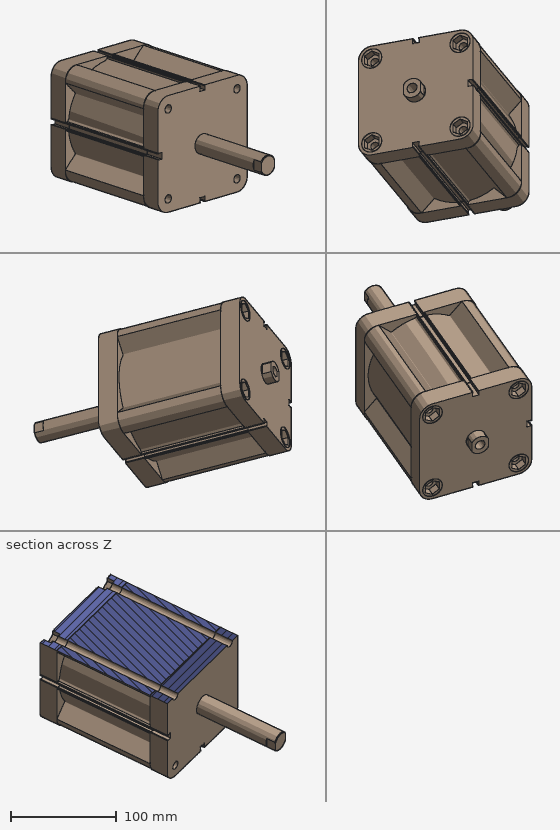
import cadquery as cq
import math


total_length = 247.0
rear_stub = 10.0
cap_thickness = 19.8
barrel_length = 107.7
barrel_start = cap_thickness
front_cap_start = barrel_start + barrel_length

section_size = 116.0
half_section = section_size / 2
corner_radius = 13.3
tie_rod_offset = half_section - corner_radius

tube_radius = 54.0
barrel_corner_radius = 14.8
web_width = barrel_corner_radius * math.sqrt(2)
web_root_fillet = 0.7
rail_width = 8.5
rail_foot_width = 11.9
rail_root_fillet = 1.0
barrel_slot_depth = 4.5
rail_step_width = 7.0
rail_step_depth = 0.2

slot_mouth_width = 5.5
slot_inner_width = 6.7
slot_lip = 1.0
cap_slot_depth = 5.2
slot_angles = (0, 90, 180)

tie_hole_diameter = 8.2
seat_diameter = 20.3
seat_depth = 0.5
hex_across_flats = 14.3
hex_depth = 8.0

rod_diameter = 20.0
flat_width = 17.0
rear_flat_length = 9.1
front_flat_length = 10.0
rod_chamfer = 0.7
rod_hole_diameter = 10.0
rod_hole_depth = 19.8
drill_point_angle = 120.0


def section_plane(x):
    """Plane across the axis at x: local x is global Y, local y is global Z."""
    return cq.Workplane("YZ", origin=(x, 0, 0))


def turned(shape, angle):
    return shape.rotate((0, 0, 0), (1, 0, 0), angle)


def at_tie_rods(x):
    """Plane at x with one point on the axis of each tie-rod hole."""
    return section_plane(x).rect(2 * tie_rod_offset, 2 * tie_rod_offset, forConstruction=True).vertices()


def sensor_slot(x, length, depth):
    """Cutter for one undercut slot in the +Z side."""
    mouth = section_plane(x).center(0, half_section - depth / 2).rect(slot_mouth_width, depth)
    undercut_depth = depth - slot_lip
    undercut = section_plane(x).center(0, half_section - depth + undercut_depth / 2)
    undercut = undercut.rect(slot_inner_width, undercut_depth)
    return mouth.extrude(length).union(undercut.extrude(length))


def cut_sensor_slots(body, x, length, depth):
    slot = sensor_slot(x, length, depth)
    for angle in slot_angles:
        body = body.cut(turned(slot, angle))
    return body


def rod_bore(x, length):
    return section_plane(x).circle(rod_diameter / 2).extrude(length)


def rounded_block(x, length, radius):
    """Square bar of the full section with rounded long edges."""
    return section_plane(x).rect(section_size, section_size).extrude(length).edges("|X").fillet(radius)


def make_cap(x):
    """Square end plate with rounded corners, tie-rod holes, rod bore and slots."""
    cap = rounded_block(x, cap_thickness, corner_radius)
    cap = cap.cut(at_tie_rods(x).circle(tie_hole_diameter / 2).extrude(cap_thickness))
    cap = cap.cut(rod_bore(x, cap_thickness))
    return cut_sensor_slots(cap, x, cap_thickness, cap_slot_depth)


def make_rear_cap():
    """End cap with a shallow round seat and a hexagon socket at each tie-rod hole."""
    hex_diameter = hex_across_flats / math.cos(math.radians(30))
    hexagon = cq.Workplane("YZ").polygon(6, hex_diameter).extrude(seat_depth + hex_depth)
    hexagon = turned(hexagon, 30)
    cap = make_cap(0)
    cap = cap.cut(at_tie_rods(0).circle(seat_diameter / 2).extrude(seat_depth))
    for side in (-1, 1):
        for level in (-1, 1):
            cap = cap.cut(hexagon.translate((0, side * tie_rod_offset, level * tie_rod_offset)))
    return cap


def fillet_root(barrel, y, z, radius):
    """Round the lengthwise barrel edge that passes through (y, z)."""
    middle = (barrel_start + barrel_length / 2, y, z)
    return barrel.edges("|X").edges(cq.selectors.NearestToPointSelector(middle)).fillet(radius)


def make_barrel():
    """Round tube body with four diagonal webs that end in rounded corners and three slotted rails."""
    x = barrel_start
    barrel = section_plane(x).circle(tube_radius).extrude(barrel_length)

    outline = rounded_block(x, barrel_length, barrel_corner_radius)
    web_length = 2 * math.hypot(half_section, half_section)
    web = section_plane(x).rect(web_length, web_width).extrude(barrel_length)
    for angle in (45, 135):
        barrel = barrel.union(turned(web, angle).intersect(outline))

    web_root_along = math.sqrt(tube_radius**2 - (web_width / 2) ** 2)
    near_root = (web_root_along - web_width / 2) / math.sqrt(2)
    far_root = (web_root_along + web_width / 2) / math.sqrt(2)
    for y, z in ((near_root, far_root), (far_root, near_root)):
        for side in (-1, 1):
            for level in (-1, 1):
                barrel = fillet_root(barrel, side * y, level * z, web_root_fillet)

    rail_side = rail_width / 2
    foot_side = rail_foot_width / 2
    rail_root = math.sqrt(tube_radius**2 - foot_side**2)
    flare_top = rail_root + foot_side - rail_side
    rail = section_plane(x).polyline([
        (-foot_side, 0),
        (-foot_side, rail_root),
        (-rail_side, flare_top),
        (-rail_side, half_section),
        (rail_side, half_section),
        (rail_side, flare_top),
        (foot_side, rail_root),
        (foot_side, 0),
    ]).close().extrude(barrel_length)
    step = section_plane(x).center(0, half_section - rail_step_depth / 2)
    rail = rail.cut(step.rect(rail_step_width, rail_step_depth).extrude(barrel_length))
    for angle in slot_angles:
        barrel = barrel.union(turned(rail, angle))

    for side in (-1, 1):
        for level in (-1, 1):
            barrel = fillet_root(barrel, side * foot_side, level * rail_root, rail_root_fillet)
        barrel = fillet_root(barrel, -rail_root, side * foot_side, rail_root_fillet)

    barrel = cut_sensor_slots(barrel, x, barrel_length, barrel_slot_depth)
    barrel = barrel.cut(at_tie_rods(x).circle(tie_hole_diameter / 2).extrude(barrel_length))
    return barrel.cut(rod_bore(x, barrel_length))


def cut_flats(rod, x, length):
    """Keep only the width between two flats facing -Y and +Y."""
    ring = section_plane(x).rect(2 * rod_diameter, 2 * rod_diameter)
    ring = ring.rect(flat_width, 2 * rod_diameter - flat_width)
    return rod.cut(ring.extrude(length))


def make_rod():
    """Through rod with wrench flats at both ends and a drilled hole in the rear end."""
    rear_end = -rear_stub
    front_end = rear_end + total_length
    rod = section_plane(rear_end).circle(rod_diameter / 2).extrude(total_length)
    rod = rod.faces(">X").chamfer(rod_chamfer)
    rod = cut_flats(rod, rear_end, rear_flat_length)
    rod = cut_flats(rod, front_end - front_flat_length, front_flat_length)

    hole_radius = rod_hole_diameter / 2
    point_length = hole_radius / math.tan(math.radians(drill_point_angle / 2))
    hole_profile = cq.Workplane("XY").polyline([
        (rear_end, 0),
        (rear_end, hole_radius),
        (rear_end + rod_hole_depth, hole_radius),
        (rear_end + rod_hole_depth + point_length, 0),
    ]).close()
    return rod.cut(hole_profile.revolve(360, (0, 0, 0), (1, 0, 0)))


rear_cap = make_rear_cap()
barrel = make_barrel()
front_cap = make_cap(front_cap_start)
piston_rod = make_rod()

result = cq.Compound.makeCompound([rear_cap.val(), barrel.val(), front_cap.val(), piston_rod.val()])